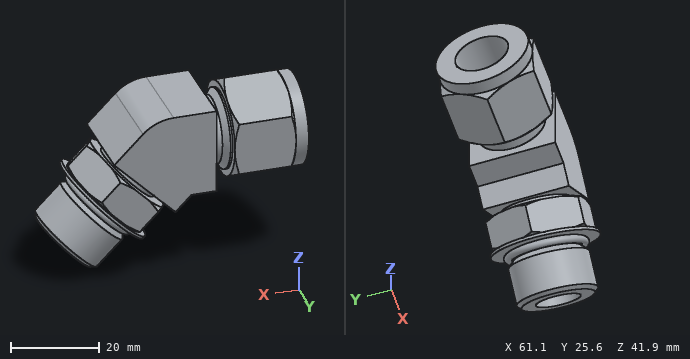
import cadquery as cq
import math

BEND_X = 32.0
BEND_ANGLE = 45
HEX_FLATS = 22.2
HEX_CORNERS = HEX_FLATS / math.cos(math.radians(30))
NECK_RADIUS = 8.0
BORE_RADIUS = 5.25

COLLAR_LENGTH = 3.05
NUT_END = 17.65
NUT_CHAMFER = 1.05
SHOULDER_RADIUS = 9.45
SHOULDER_END = 18.15
CONE_END = SHOULDER_END + SHOULDER_RADIUS - NECK_RADIUS
TUBE_SOCKET_RADIUS = 6.35
TUBE_SOCKET_DEPTH = NUT_END

BLOCK_HALF_WIDTH = 10.3
BLOCK_START = 21.75
BLOCK_OUTLET = 9.7

LOCKNUT_START = 11.1
LOCKNUT_END = 18.9
LOCKNUT_CHAMFER = 0.8
LOCKNUT_FACE_RADIUS = 11.35
WASHER_RADIUS = 12.8
WASHER_END = 19.65
THREAD_RADIUS = 9.5
THREAD_START = 22.95
THREAD_LEAD_IN = THREAD_START - (THREAD_RADIUS - NECK_RADIUS)
TIP_CHAMFER = 0.9
OUTLET_END = 32.5

RING_SECTION_RADIUS = 1.0
RING_RADIUS = NECK_RADIUS + RING_SECTION_RADIUS
RING_POSITION = WASHER_END + RING_SECTION_RADIUS


def revolve_about_x(points):
    """Turn a closed (position, radius) outline about the X axis."""
    return cq.Workplane("XY").polyline(points).close().revolve(360, (0, 0, 0), (1, 0, 0))


def cylinder(start, end, radius):
    """Cylinder along the X axis."""
    return cq.Workplane("YZ").workplane(offset=start).circle(radius).extrude(end - start)


def chamfered_hexagon(start, end, chamfer, face_radius):
    """Hexagon along X with corners at +Z and -Z and conical chamfers at both ends."""
    prism = (
        cq.Workplane("YZ").workplane(offset=start)
        .transformed(rotate=(0, 0, 90))
        .polygon(6, HEX_CORNERS).extrude(end - start)
    )
    corner_radius = HEX_CORNERS / 2
    envelope = revolve_about_x([
        (start, 0),
        (start, face_radius),
        (start + chamfer, corner_radius),
        (end - chamfer, corner_radius),
        (end, face_radius),
        (end, 0),
    ])
    return prism.intersect(envelope)


def place_on_outlet(shape):
    """Move a shape built along X from the origin onto the outlet axis."""
    return shape.rotate((0, 0, 0), (0, 1, 0), BEND_ANGLE).translate((BEND_X, 0, 0))


def make_inlet():
    """Tube nut with its round collar, and the shouldered neck behind it."""
    collar = cylinder(0, COLLAR_LENGTH, HEX_FLATS / 2)
    nut = chamfered_hexagon(COLLAR_LENGTH, NUT_END, NUT_CHAMFER, HEX_FLATS / 2)
    neck = revolve_about_x([
        (COLLAR_LENGTH, 0),
        (COLLAR_LENGTH, SHOULDER_RADIUS),
        (SHOULDER_END, SHOULDER_RADIUS),
        (CONE_END, NECK_RADIUS),
        (BEND_X, NECK_RADIUS),
        (BEND_X, 0),
    ])
    return collar.union(nut).union(neck)


def make_block():
    """Square elbow block, rounded about the bend point on the outside and mitred inside."""
    angle = math.radians(BEND_ANGLE)

    def outlet_point(along, across):
        x = BEND_X + along * math.cos(angle) + across * math.sin(angle)
        z = -along * math.sin(angle) + across * math.cos(angle)
        return x, z

    arc_middle = (
        BEND_X + BLOCK_HALF_WIDTH * math.sin(angle / 2),
        BLOCK_HALF_WIDTH * math.cos(angle / 2),
    )
    inner_corner_x = BEND_X - BLOCK_HALF_WIDTH * math.tan(angle / 2)
    return (
        cq.Workplane("XZ")
        .moveTo(BLOCK_START, BLOCK_HALF_WIDTH)
        .lineTo(BEND_X, BLOCK_HALF_WIDTH)
        .threePointArc(arc_middle, outlet_point(0, BLOCK_HALF_WIDTH))
        .lineTo(*outlet_point(BLOCK_OUTLET, BLOCK_HALF_WIDTH))
        .lineTo(*outlet_point(BLOCK_OUTLET, -BLOCK_HALF_WIDTH))
        .lineTo(inner_corner_x, -BLOCK_HALF_WIDTH)
        .lineTo(BLOCK_START, -BLOCK_HALF_WIDTH)
        .close()
        .extrude(BLOCK_HALF_WIDTH, both=True)
    )


def make_outlet():
    """Neck, locknut, washer and threaded end along the outlet axis."""
    stem = revolve_about_x([
        (0, 0),
        (0, NECK_RADIUS),
        (THREAD_LEAD_IN, NECK_RADIUS),
        (THREAD_START, THREAD_RADIUS),
        (OUTLET_END - TIP_CHAMFER, THREAD_RADIUS),
        (OUTLET_END, THREAD_RADIUS - TIP_CHAMFER),
        (OUTLET_END, 0),
    ])
    locknut = chamfered_hexagon(LOCKNUT_START, LOCKNUT_END, LOCKNUT_CHAMFER, LOCKNUT_FACE_RADIUS)
    washer = cylinder(LOCKNUT_END, WASHER_END, WASHER_RADIUS)
    return place_on_outlet(stem.union(locknut).union(washer))


def make_bore():
    """Tube socket and through bore, with a spherical turn at the bend point."""
    socket = cylinder(0, TUBE_SOCKET_DEPTH, TUBE_SOCKET_RADIUS)
    inlet_bore = cylinder(0, BEND_X, BORE_RADIUS)
    turn = cq.Workplane("XY").sphere(BORE_RADIUS).translate((BEND_X, 0, 0))
    outlet_bore = place_on_outlet(cylinder(0, OUTLET_END, BORE_RADIUS))
    return socket.union(inlet_bore).union(turn).union(outlet_bore)


def make_fitting():
    return make_inlet().union(make_block()).union(make_outlet()).cut(make_bore()).solids()


def make_o_ring():
    ring = (
        cq.Workplane("XY").center(RING_POSITION, RING_RADIUS)
        .circle(RING_SECTION_RADIUS)
        .revolve(360, (0, -RING_RADIUS, 0), (1, -RING_RADIUS, 0))
    )
    return place_on_outlet(ring)


fitting = make_fitting()
o_ring = make_o_ring()

result = cq.Compound.makeCompound([fitting.val(), o_ring.val()])